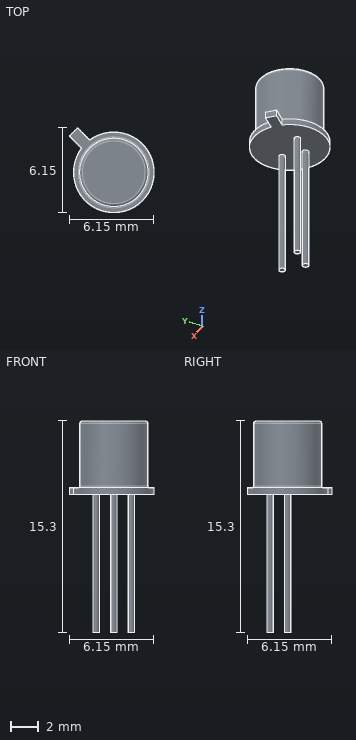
import cadquery as cq
import math

lead_length = 10.0
flange_thickness = 0.5
overall_height = 15.33
can_height = overall_height - lead_length - flange_thickness

flange_diameter = 5.85
can_diameter = 4.95
can_top_radius = 0.2
foot_radius = 0.1
lead_diameter = 0.48
lead_circle_radius = 1.27

overall_width = 6.15
tab_width = 0.85
tab_angle = 135
lead_angles = (180, 270, 0)

tab_corner_offset = overall_width - flange_diameter / 2
tab_reach = tab_corner_offset * math.sqrt(2) - tab_width / 2


def make_header():
    """Flange disc with the orientation tab."""
    disc = cq.Workplane("XY").circle(flange_diameter / 2).extrude(flange_thickness)
    tab = (
        cq.Workplane("XY")
        .rect(tab_reach, tab_width)
        .extrude(flange_thickness)
        .translate((tab_reach / 2, 0, 0))
        .rotate((0, 0, 0), (0, 0, 1), tab_angle)
    )
    return disc.union(tab)


def make_can():
    """Cap with a rounded top edge and a concave foot where it meets the flange."""
    can_radius = can_diameter / 2
    top = flange_thickness + can_height
    diagonal = math.sqrt(0.5)
    top_arc_middle = (
        can_radius - can_top_radius * (1 - diagonal),
        top - can_top_radius * (1 - diagonal),
    )
    foot_arc_middle = (
        can_radius + foot_radius * (1 - diagonal),
        flange_thickness + foot_radius * (1 - diagonal),
    )
    profile = (
        cq.Workplane("XZ")
        .moveTo(0, flange_thickness)
        .lineTo(can_radius + foot_radius, flange_thickness)
        .threePointArc(foot_arc_middle, (can_radius, flange_thickness + foot_radius))
        .lineTo(can_radius, top - can_top_radius)
        .threePointArc(top_arc_middle, (can_radius - can_top_radius, top))
        .lineTo(0, top)
        .close()
    )
    return profile.revolve(360, (0, 0, 0), (0, 1, 0))


def make_lead(angle):
    """Straight round lead hanging below the flange at an angle on the lead circle."""
    x = lead_circle_radius * math.cos(math.radians(angle))
    y = lead_circle_radius * math.sin(math.radians(angle))
    return cq.Workplane("XY").center(x, y).circle(lead_diameter / 2).extrude(-lead_length)


result = make_header().union(make_can())
for lead_angle in lead_angles:
    result = result.union(make_lead(lead_angle))